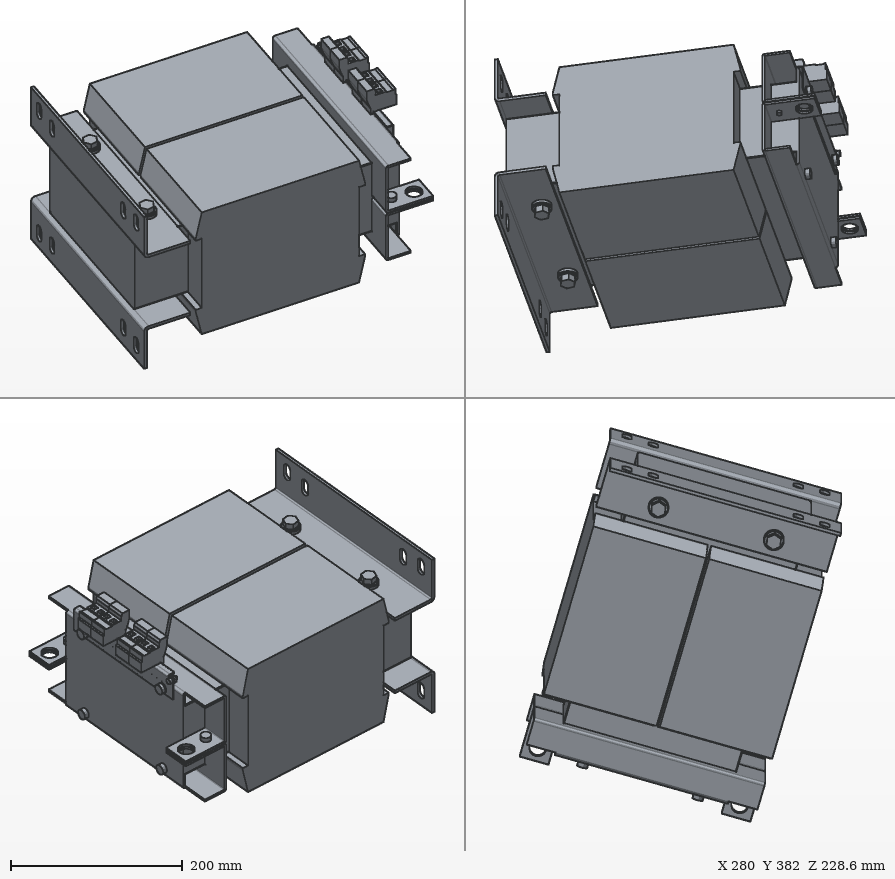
import cadquery as cq


CORE_WIDTH = 210
CORE_LENGTH = 350
CORE_HEIGHT = 100
SHIM = 1
SHIM_INSET = 1
SEAT_Z = CORE_HEIGHT / 2 + SHIM
CORE_END = CORE_LENGTH / 2
COIL_OUTER_X = 138.5
COIL_GAP = 4
COIL_TOP_Z = 90
COIL_END_Y = 104
COIL_FLARE_Y = 112
COIL_RIM = 3

FRAME_WIDTH = 280
ANGLE_SHEET = 4
ANGLE_BEND = 2
ANGLE_FACE_Y = -181
ANGLE_DEPTH = 61
ANGLE_TOP_Z = 112
SLOT_WIDTH = 11.5
SLOT_HEIGHT = 22
OUTER_SLOT = (120, 90.5)
INNER_SLOT = (88, 86.5)

CLAMP_X = 70
CLAMP_Y = -140
WASHER_DIAMETER = 23.5
WASHER_THICKNESS = 4
LOCK_RING_DIAMETER = 22
LOCK_RING_THICKNESS = 1.2
HEX_SIDES = 6
HEX_ACROSS_FLATS = 16
NUT_HEIGHT = 7.5
NUT_TURN = 10
BOLT_HEAD_HEIGHT = 9
BOLT_HEAD_TURN = 50

SHEET = 3
SHEET_BEND = 0.5
WEB_FRONT_Y = 138.5
FLANGE_TOP_Z = 69.8
LIP_FACE_Y = CORE_END
FLANGE_END_Y = LIP_FACE_Y - SHEET - SHEET_BEND
TAB_END_Y = 201
TAB_GAP = 1.2
TAB_HOLE = (122.5, 185)
TAB_HOLE_DIAMETER = 20
TAB_SCREW_Y = 155

SCREW_DIAMETER = 6
SCREW_HEAD_DIAMETER = 12.5
SCREW_WASHER_DIAMETER = 13
SCREW_WASHER_THICKNESS = 1.2
SCREW_REACH = 11
SCREW_HEAD_HEIGHT = 6
LIP_SCREW_Z = 59

PLATE_SHEET = 1.5
PLATE_LEFT_X = -88
PLATE_RIGHT_X = 89
PLATE_BOTTOM_Z = 52
RAIL_LEFT_X = -80
RAIL_TOP_Z = 83
RAIL_FRONT_Y = 167
RAIL_BEND = 3
EARTH_SCREW_X = -86
EARTH_SCREW_Z = 79.5
EARTH_HEAD_DIAMETER = 7
EARTH_HEAD_HEIGHT = 4
EARTH_WASHER_DIAMETER = 9
EARTH_WASHER_THICKNESS = 1
EARTH_NUT_THICKNESS = 3
EARTH_TIP = 3
EARTH_TIP_DIAMETER = 4

BLOCK_WIDTH = 22.7
BLOCK_STARTS = (-56, 11.7)
BLOCKS_PER_GROUP = 2
POLES_PER_BLOCK = 2
BLOCK_CLEARANCE = 0.2
BLOCK_TOP_Z = 116.55
WIRE_FACE_Z = 106.8
BLOCK_BACK_Y = 197.3
BLOCK_SHOULDER_Z = 97
BLOCK_RIM_Y = 195.7
RIM_WIDTH = 3
RECESS_DEPTH = 1.2
RECESS_END_Y = 183.3
TOWER_BACK_Y = 169.7
TOWER_BEND_Z = 112.7
TOWER_TOP_BACK_Y = 168
TOWER_FRONT_Y = 157.6
TOWER_LOWER_Z = 104
TOWER_WAIST_Y = 159.7
FOOT_FRONT_Y = 162.8
FOOT_BACK_Y = 165.5
FOOT_TOP_Z = 89.3
FOOT_BOTTOM_Z = 80.5
WIRE_HOLE = 6
WIRE_HOLE_DEPTH = 5
WIRE_HOLE_Y = 177


def box(x0, x1, y0, y1, z0, z1):
    return cq.Workplane("XY").box(x1 - x0, y1 - y0, z1 - z0, centered=False).translate((x0, y0, z0))


def mirrored_z(shape):
    return shape.union(shape.mirror("XY"))


def extrude_along_x(points, x0, x1):
    return cq.Workplane("YZ", origin=(x0, 0, 0)).polyline(points).close().extrude(x1 - x0)


def rod_along_y(x, z, y0, y1, diameter):
    return cq.Workplane("XZ", origin=(x, y0, z)).circle(diameter / 2).extrude(y0 - y1)


def rod_along_z(x, y, z0, z1, diameter):
    return cq.Workplane("XY", origin=(x, y, z0)).circle(diameter / 2).extrude(z1 - z0)


def round_edge_along_x(shape, y, z, radius):
    x = shape.val().Center().x
    return shape.edges(cq.selectors.NearestToPointSelector((x, y, z))).fillet(radius)


def make_core():
    """Core with a thin insulating strip above, below and in front of the rear lips."""
    core = cq.Workplane("XY").box(CORE_WIDTH, CORE_LENGTH, CORE_HEIGHT)
    half_strip = CORE_WIDTH / 2 - SHIM_INSET
    lip_inside = LIP_FACE_Y - SHEET
    strips = box(-half_strip, half_strip, -CORE_END, lip_inside, -SEAT_Z, SEAT_Z)
    strip_top = FLANGE_TOP_Z - SHEET - SHEET_BEND
    upturn = box(-half_strip, half_strip, lip_inside - SHIM, lip_inside, -strip_top, strip_top)
    return core.union(strips).union(upturn)


def make_coil():
    upper_end = [
        (COIL_END_Y, SEAT_Z),
        (COIL_FLARE_Y, SEAT_Z),
        (COIL_FLARE_Y, SEAT_Z + COIL_RIM),
        (COIL_END_Y, COIL_TOP_Z),
    ]
    upper = upper_end + [(-y, z) for y, z in reversed(upper_end)]
    outline = upper + [(-y, -z) for y, z in upper]
    return extrude_along_x(outline, COIL_GAP / 2, COIL_OUTER_X)


def make_front_angle():
    half = FRAME_WIDTH / 2
    back = ANGLE_FACE_Y + ANGLE_DEPTH
    inner_y = ANGLE_FACE_Y + ANGLE_SHEET
    inner_z = SEAT_Z + ANGLE_SHEET
    outline = [
        (ANGLE_FACE_Y, SEAT_Z),
        (back, SEAT_Z),
        (back, inner_z),
        (inner_y, inner_z),
        (inner_y, ANGLE_TOP_Z),
        (ANGLE_FACE_Y, ANGLE_TOP_Z),
    ]
    angle = extrude_along_x(outline, -half, half)
    angle = round_edge_along_x(angle, ANGLE_FACE_Y, SEAT_Z, ANGLE_SHEET + ANGLE_BEND)
    angle = round_edge_along_x(angle, inner_y, inner_z, ANGLE_BEND)
    for x, z in (OUTER_SLOT, INNER_SLOT):
        slots = (
            cq.Workplane("XZ", origin=(0, inner_y, z))
            .pushPoints([(-x, 0), (x, 0)])
            .slot2D(SLOT_HEIGHT, SLOT_WIDTH, angle=90)
            .extrude(ANGLE_SHEET)
        )
        angle = angle.cut(slots)
    return angle


def make_clamp_hex(x, height, turn):
    """Washer, lock ring and hexagon stacked on the upper angle."""
    seat = SEAT_Z + ANGLE_SHEET
    ring_seat = seat + WASHER_THICKNESS
    hex_seat = ring_seat + LOCK_RING_THICKNESS
    washer = rod_along_z(x, CLAMP_Y, seat, ring_seat, WASHER_DIAMETER)
    ring = rod_along_z(x, CLAMP_Y, ring_seat, hex_seat, LOCK_RING_DIAMETER)
    hexagon = (
        cq.Workplane("XY")
        .polygon(HEX_SIDES, HEX_ACROSS_FLATS, circumscribed=True)
        .extrude(height)
        .rotate((0, 0, 0), (0, 0, 1), turn)
        .translate((x, CLAMP_Y, hex_seat))
    )
    return washer.union(ring).union(hexagon)


def make_rear_channel():
    half = FRAME_WIDTH / 2
    half_core = CORE_WIDTH / 2
    tab_z = TAB_GAP / 2
    outline = [
        (TAB_END_Y, tab_z),
        (WEB_FRONT_Y, tab_z),
        (WEB_FRONT_Y, FLANGE_TOP_Z),
        (FLANGE_END_Y, FLANGE_TOP_Z),
        (FLANGE_END_Y, FLANGE_TOP_Z - SHEET),
        (WEB_FRONT_Y + SHEET, FLANGE_TOP_Z - SHEET),
        (WEB_FRONT_Y + SHEET, tab_z + SHEET),
        (TAB_END_Y, tab_z + SHEET),
    ]
    channel = extrude_along_x(outline, -half, half)
    for z, inner_z in ((tab_z, tab_z + SHEET), (FLANGE_TOP_Z, FLANGE_TOP_Z - SHEET)):
        channel = round_edge_along_x(channel, WEB_FRONT_Y, z, SHEET + SHEET_BEND)
        channel = round_edge_along_x(channel, WEB_FRONT_Y + SHEET, inner_z, SHEET_BEND)
    channel = channel.cut(box(-half_core, half_core, WEB_FRONT_Y, TAB_END_Y, 0, SEAT_Z))
    x, y = TAB_HOLE
    for side in (-1, 1):
        channel = channel.cut(rod_along_z(side * x, y, 0, tab_z + SHEET, TAB_HOLE_DIAMETER))
    return channel.union(make_lip())


def make_lip():
    """Tongue turned down from the flange onto the core end."""
    half_core = CORE_WIDTH / 2
    outer = SHEET + SHEET_BEND
    centre_z = FLANGE_TOP_Z - outer
    return (
        cq.Workplane("YZ", origin=(-half_core, 0, 0))
        .moveTo(FLANGE_END_Y, FLANGE_TOP_Z)
        .radiusArc((FLANGE_END_Y + outer, centre_z), outer)
        .lineTo(FLANGE_END_Y + outer, CORE_HEIGHT / 2)
        .lineTo(FLANGE_END_Y + SHEET_BEND, CORE_HEIGHT / 2)
        .lineTo(FLANGE_END_Y + SHEET_BEND, centre_z)
        .radiusArc((FLANGE_END_Y, FLANGE_TOP_Z - SHEET), -SHEET_BEND)
        .close()
        .extrude(CORE_WIDTH)
    )


def make_lip_screw(x, z, seat_y):
    head = rod_along_y(x, z, seat_y, seat_y + SCREW_HEAD_HEIGHT, SCREW_HEAD_DIAMETER)
    return head.union(rod_along_y(x, z, seat_y - SCREW_REACH, seat_y, SCREW_DIAMETER))


def make_tab_screw(x):
    top = TAB_GAP / 2 + SHEET
    head = rod_along_z(x, TAB_SCREW_Y, top, top + SCREW_HEAD_HEIGHT, SCREW_HEAD_DIAMETER)
    return head.union(rod_along_z(x, TAB_SCREW_Y, -top - SHEET, top, SCREW_DIAMETER))


def make_terminal_plate():
    back = CORE_END + PLATE_SHEET
    earth_lug = box(PLATE_LEFT_X, RAIL_LEFT_X, CORE_END, back, PLATE_BOTTOM_Z, RAIL_TOP_Z - RAIL_BEND)
    upright = box(RAIL_LEFT_X, PLATE_RIGHT_X, CORE_END, back, PLATE_BOTTOM_Z, RAIL_TOP_Z)
    rail = box(RAIL_LEFT_X, PLATE_RIGHT_X, RAIL_FRONT_Y, back, RAIL_TOP_Z - PLATE_SHEET, RAIL_TOP_Z)
    bent = upright.union(rail)
    bent = round_edge_along_x(bent, CORE_END, RAIL_TOP_Z - PLATE_SHEET, RAIL_BEND - PLATE_SHEET)
    bent = round_edge_along_x(bent, back, RAIL_TOP_Z, RAIL_BEND)
    plate = earth_lug.union(bent)
    for side in (-1, 1):
        washer_end = back + SCREW_WASHER_THICKNESS
        plate = plate.union(
            rod_along_y(side * CLAMP_X, LIP_SCREW_Z, back, washer_end, SCREW_WASHER_DIAMETER)
        )
    return plate


def make_earth_screw():
    back = CORE_END + PLATE_SHEET
    washer_end = back + EARTH_WASHER_THICKNESS
    nut_end = CORE_END - EARTH_NUT_THICKNESS
    head = rod_along_y(
        EARTH_SCREW_X, EARTH_SCREW_Z, washer_end, washer_end + EARTH_HEAD_HEIGHT, EARTH_HEAD_DIAMETER
    )
    washer = rod_along_y(EARTH_SCREW_X, EARTH_SCREW_Z, back, washer_end, EARTH_WASHER_DIAMETER)
    nut = rod_along_y(EARTH_SCREW_X, EARTH_SCREW_Z, nut_end, CORE_END, EARTH_WASHER_DIAMETER)
    tip = rod_along_y(EARTH_SCREW_X, EARTH_SCREW_Z, nut_end - EARTH_TIP, nut_end, EARTH_TIP_DIAMETER)
    return head.union(washer).union(nut).union(tip)


def make_terminal_block(x):
    outline = [
        (BLOCK_BACK_Y, RAIL_TOP_Z),
        (BLOCK_BACK_Y, BLOCK_SHOULDER_Z),
        (BLOCK_RIM_Y, BLOCK_SHOULDER_Z + BLOCK_BACK_Y - BLOCK_RIM_Y),
        (BLOCK_RIM_Y, WIRE_FACE_Z),
        (BLOCK_RIM_Y - RIM_WIDTH, WIRE_FACE_Z - RECESS_DEPTH),
        (RECESS_END_Y + RECESS_DEPTH, WIRE_FACE_Z - RECESS_DEPTH),
        (RECESS_END_Y, WIRE_FACE_Z),
        (TOWER_BACK_Y, WIRE_FACE_Z),
        (TOWER_BACK_Y, TOWER_BEND_Z),
        (TOWER_TOP_BACK_Y, BLOCK_TOP_Z),
        (TOWER_FRONT_Y, BLOCK_TOP_Z),
        (TOWER_FRONT_Y, TOWER_LOWER_Z),
        (TOWER_WAIST_Y, BLOCK_SHOULDER_Z),
        (FOOT_FRONT_Y, FOOT_TOP_Z),
        (FOOT_FRONT_Y, FOOT_BOTTOM_Z),
        (FOOT_BACK_Y, FOOT_BOTTOM_Z),
        (RAIL_FRONT_Y, RAIL_TOP_Z),
    ]
    block = extrude_along_x(outline, x, x + BLOCK_WIDTH - BLOCK_CLEARANCE)
    pitch = BLOCK_WIDTH / POLES_PER_BLOCK
    cutter = cq.Workplane("XY").box(WIRE_HOLE, WIRE_HOLE, 2 * WIRE_HOLE_DEPTH)
    for pole in range(POLES_PER_BLOCK):
        hole_x = x + (pole + 0.5) * pitch
        block = block.cut(cutter.translate((hole_x, WIRE_HOLE_Y, WIRE_FACE_Z)))
    return block


coil = make_coil()
result = make_core().union(coil).union(coil.mirror("YZ"))
result = result.union(mirrored_z(make_front_angle())).union(mirrored_z(make_rear_channel()))
result = result.union(make_terminal_plate()).union(make_earth_screw())
for side in (-1, 1):
    result = result.union(make_clamp_hex(side * CLAMP_X, NUT_HEIGHT, NUT_TURN))
    result = result.union(make_clamp_hex(side * CLAMP_X, BOLT_HEAD_HEIGHT, BOLT_HEAD_TURN).mirror("XY"))
    result = result.union(make_lip_screw(side * CLAMP_X, LIP_SCREW_Z, CORE_END + PLATE_SHEET))
    result = result.union(make_lip_screw(side * CLAMP_X, -LIP_SCREW_Z, CORE_END))
    result = result.union(make_tab_screw(side * TAB_HOLE[0]))
for start in BLOCK_STARTS:
    for index in range(BLOCKS_PER_GROUP):
        result = result.union(make_terminal_block(start + index * BLOCK_WIDTH))